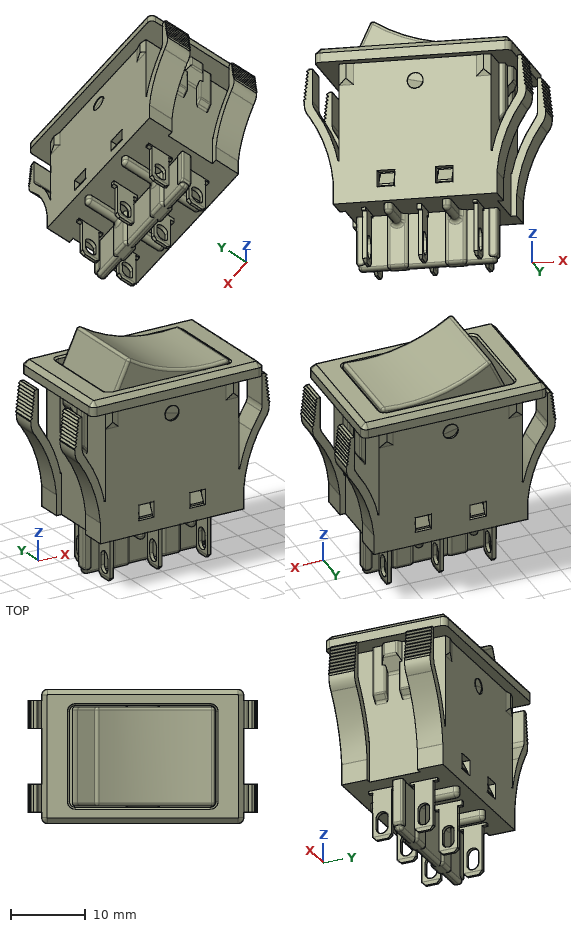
import cadquery as cq

BODY_BOTTOM = 7.47
BEZEL_BOTTOM = 26.95
BEZEL_EDGE_TOP = 28.28
BEZEL_TOP = 29.0

BEZEL_LENGTH = 27.1
BEZEL_WIDTH = 18.0
BEZEL_BEVEL = 0.72
BEZEL_CORNER = 0.8
OPENING_LENGTH = 19.65
OPENING_WIDTH = 13.63
OPENING_CORNER = 0.8
OPENING_LIP = 0.25
OPENING_LIP_ANGLE = 45
OPENING_FLOOR = 24.7

BODY_HALF_LENGTH = 10.5
BODY_HALF_WIDTH = 7.5

ROCKER_HALF_WIDTH = 6.65
ROCKER_LEFT = -9.45
ROCKER_RIGHT = 9.7
ROCKER_FLARE_BOTTOM = 26.8
ROCKER_FLARE_MIDDLE = (-9.02, 27.25)
ROCKER_FLARE_TOP = (-8.72, 27.85)
ROCKER_PEAK = (-6.25, 33.12)
ROCKER_DISH = (1.32, 29.85)
ROCKER_TAIL = (9.68, 29.45)
ROCKER_ROUND = 0.43
PIVOT_Z = 24.0
PIVOT_BOSS_RADIUS = 2.4
PIVOT_BOSS_TAPER = 60

PIVOT_HOLE_RADIUS = 1.1
PIVOT_HOLE_DEPTH = 0.1
PIVOT_SLANT_DEPTH = 0.33
PIVOT_TILT = 13

WEDGE_LENGTH = 2.0
WEDGE_PROUD = 0.23
WEDGE_RIDGE_BOTTOM = 24.9
WEDGE_BOTTOM = 24.0

STATION_X = 4.0
WINDOW_LENGTH = 2.4
WINDOW_BOTTOM = 9.48
WINDOW_TOP = 11.75
WINDOW_DEPTH = 1.0
LATCH_LENGTH = 2.05
LATCH_LIP_Z = 9.9
LATCH_LIP_DEPTH = 0.2
LATCH_GAP = 0.15

CLIP_INNER_Y = 3.72
CLIP_FOOT_X = 11.3
CLIP_BEND_START_Z = 10.5
CLIP_BEND_END = (14.62, 19.92)
CLIP_BEND_MIDDLE = (12.28, 15.2)
CLIP_KNEE_MIDDLE = (15.15, 20.8)
CLIP_KNEE_END = (15.27, 22.0)
CLIP_INNER_KNEE_TOP_Z = 22.02
CLIP_INNER_KNEE_MIDDLE = (14.12, 21.6)
CLIP_INNER_KNEE_END = (13.95, 21.15)
CLIP_INNER_BEND_START = (12.5, 18.7)
CLIP_INNER_BEND_MIDDLE = (11.45, 16.33)
CLIP_SLOT_X = 10.63
CLIP_SLOT_Z = 13.5
CLIP_FINGER_X = 14.15
CLIP_TOP = 26.55
TOOTH_COUNT = 9
TOOTH_DEPTH = 0.25
TOOTH_LOWEST = (15.4, 22.25)
TOOTH_HIGHEST = (14.95, 26.27)
TOOTH_LEAN = (TOOTH_LOWEST[0] - TOOTH_HIGHEST[0]) / (TOOTH_COUNT - 1)
TOOTH_PITCH = (TOOTH_HIGHEST[1] - TOOTH_LOWEST[1]) / (TOOTH_COUNT - 1)

GUIDE_X = 11.3
GUIDE_INNER_Y = 1.0
GUIDE_OUTER_Y = 2.95
GUIDE_BASE_Z = 18.1
GUIDE_EMBED = 0.5
GUIDE_FOOT_ROUND = 0.8
RAIL_SLOPE_TOP = 19.98
RAIL_SLOPE_FOOT = 19.03
RAIL_CREST_ROUND = 0.4
RAIL_EDGE_ROUND = 0.23
KEY_X = 11.98
KEY_TIP_Y = 1.0
KEY_ROOT_Y = 1.48
KEY_SLOPE_TOP = 25.02
KEY_SLOPE_FOOT = 22.98
KEY_CREST_ROUND = 0.65
KEY_EDGE_ROUND = 0.33

WALL_HALF_LENGTH = 9.75
WALL_HALF_WIDTH = 0.65
WALL_ROUND = 0.45
POST_LENGTH = 1.25
POST_HALF_WIDTH = 0.75
POST_ROUND = 0.23
POST_BOTTOM = 0.65
POST_BOTTOM_ROUND = 0.5
PILASTER_LENGTH = 3.03
PILASTER_HALF_WIDTH = 1.0
PILASTER_ROUND = 0.53
RIB_WIDTH = 1.2
RIB_HALF_SPAN = 6.52
RIB_BOTTOM = 6.0
RIB_END_ROUND = 0.55
RIB_ROOT_ROUND = 0.53

TERMINAL_Y = 3.1
TERMINAL_PITCH = 7.67
TERMINAL_THICKNESS = 0.55
TERMINAL_WIDTH = 2.8
TERMINAL_TIP_CHAMFER = 0.53
TERMINAL_TIP_BEVEL = 0.1
SHOULDER_WIDTH = 4.0
SHOULDER_Z = 7.1
MIDDLE_SHOULDER_Z = 6.7
EYE_WIDTH = 1.75
EYE_BOTTOM = 0.85
EYE_TOP = 4.05

SELECT_MARGIN = 0.03


def block(x0, x1, y0, y1, z0, z1):
    """Box given by its limits along each axis."""
    return cq.Workplane("XY").box(x1 - x0, y1 - y0, z1 - z0, centered=False).translate((x0, y0, z0))


def box_around(x0, x1, y0, y1, z0, z1):
    """Selector for whatever has its centre within these limits, or just outside them."""
    low = (x0 - SELECT_MARGIN, y0 - SELECT_MARGIN, z0 - SELECT_MARGIN)
    high = (x1 + SELECT_MARGIN, y1 + SELECT_MARGIN, z1 + SELECT_MARGIN)
    return cq.selectors.BoxSelector(low, high)


def extrude_along_y(sketch, y0, y1):
    """Extrude a closed XZ sketch from y0 to y1."""
    return sketch.extrude(-(y1 - y0)).translate((0, y0, 0))


def both_ends(solid):
    """The solid together with its mirror at the opposite X end."""
    return solid.union(solid.mirror("YZ"))


def both_sides(solid):
    """The solid together with its mirror at the opposite Y side."""
    return solid.union(solid.mirror("XZ"))


def make_bezel():
    bevel_height = BEZEL_TOP - BEZEL_EDGE_TOP
    plate = (
        cq.Workplane("XY", origin=(0, 0, BEZEL_BOTTOM))
        .rect(BEZEL_LENGTH, BEZEL_WIDTH)
        .extrude(BEZEL_TOP - BEZEL_BOTTOM)
        .edges("|Z")
        .fillet(BEZEL_CORNER)
    )
    return plate.faces(">Z").chamfer(bevel_height, BEZEL_BEVEL)


def make_opening():
    """Rocker opening with a sloped lip around its mouth."""
    well = (
        cq.Workplane("XY", origin=(0, 0, OPENING_FLOOR))
        .rect(OPENING_LENGTH, OPENING_WIDTH)
        .extrude(BEZEL_TOP - OPENING_FLOOR)
        .edges("|Z")
        .fillet(OPENING_CORNER)
    )
    mouth = cq.Sketch().rect(OPENING_LENGTH, OPENING_WIDTH).vertices().fillet(OPENING_CORNER)
    lip = (
        cq.Workplane("XY", origin=(0, 0, BEZEL_TOP - OPENING_LIP))
        .placeSketch(mouth)
        .extrude(OPENING_LIP, taper=-OPENING_LIP_ANGLE)
    )
    return well.union(lip)


def make_rocker():
    """Tilted rocker with a dished top and a pivot boss on each flank."""
    sketch = (
        cq.Workplane("XZ")
        .moveTo(ROCKER_LEFT, OPENING_FLOOR)
        .lineTo(ROCKER_LEFT, ROCKER_FLARE_BOTTOM)
        .threePointArc(ROCKER_FLARE_MIDDLE, ROCKER_FLARE_TOP)
        .lineTo(*ROCKER_PEAK)
        .threePointArc(ROCKER_DISH, ROCKER_TAIL)
        .lineTo(ROCKER_RIGHT, OPENING_FLOOR)
        .close()
    )
    rocker = extrude_along_y(sketch, -ROCKER_HALF_WIDTH, ROCKER_HALF_WIDTH)
    rocker = rocker.edges("not(<Z or (|Y and <X))").fillet(ROCKER_ROUND)
    gap = OPENING_WIDTH / 2 - ROCKER_HALF_WIDTH
    boss = (
        cq.Workplane("XZ", origin=(0, -ROCKER_HALF_WIDTH, PIVOT_Z))
        .circle(PIVOT_BOSS_RADIUS)
        .extrude(gap, taper=PIVOT_BOSS_TAPER)
    )
    return rocker.union(both_sides(boss))


def make_pivot_hole():
    """Shallow round recess whose lower half slants deeper into the wall."""
    face = cq.Workplane("XZ", origin=(0, -BODY_HALF_WIDTH, PIVOT_Z))
    recess = face.circle(PIVOT_HOLE_RADIUS).extrude(-PIVOT_HOLE_DEPTH)
    column = face.circle(PIVOT_HOLE_RADIUS).extrude(-PIVOT_SLANT_DEPTH)
    slant = (
        cq.Workplane("YZ")
        .moveTo(-BODY_HALF_WIDTH, 0)
        .lineTo(-BODY_HALF_WIDTH + PIVOT_HOLE_DEPTH, 0)
        .lineTo(-BODY_HALF_WIDTH + PIVOT_SLANT_DEPTH, -PIVOT_HOLE_RADIUS)
        .lineTo(-BODY_HALF_WIDTH, -PIVOT_HOLE_RADIUS)
        .close()
        .extrude(PIVOT_HOLE_RADIUS, both=True)
        .rotate((0, 0, 0), (0, 1, 0), PIVOT_TILT)
        .translate((0, 0, PIVOT_Z))
    )
    return recess.union(column.intersect(slant))


def make_wedge():
    """Ridged wedge at the top corner of a long wall, tapering out below."""
    ridge_x = BODY_HALF_LENGTH - WEDGE_LENGTH / 2
    prism = (
        cq.Workplane("XY", origin=(0, 0, WEDGE_BOTTOM))
        .moveTo(ridge_x - WEDGE_LENGTH / 2, -BODY_HALF_WIDTH)
        .lineTo(ridge_x, -BODY_HALF_WIDTH - WEDGE_PROUD)
        .lineTo(ridge_x + WEDGE_LENGTH / 2, -BODY_HALF_WIDTH)
        .close()
        .extrude(BEZEL_BOTTOM - WEDGE_BOTTOM)
    )
    under = (
        cq.Workplane("YZ")
        .moveTo(-BODY_HALF_WIDTH, WEDGE_BOTTOM)
        .lineTo(-BODY_HALF_WIDTH - WEDGE_PROUD, WEDGE_RIDGE_BOTTOM)
        .lineTo(-BODY_HALF_WIDTH - WEDGE_PROUD, WEDGE_BOTTOM)
        .close()
        .extrude(BODY_HALF_LENGTH)
    )
    return prism.cut(under)


def make_window(x):
    """Window in a long wall, less the sloped latch that stays inside it."""
    face_y = -BODY_HALF_WIDTH
    back_y = face_y + WINDOW_DEPTH
    lip_y = face_y + LATCH_LIP_DEPTH
    pocket = block(
        x - WINDOW_LENGTH / 2, x + WINDOW_LENGTH / 2, face_y, back_y, WINDOW_BOTTOM, WINDOW_TOP
    )
    latch = (
        cq.Workplane("YZ", origin=(x, 0, 0))
        .moveTo(back_y, WINDOW_BOTTOM + LATCH_GAP)
        .lineTo(lip_y, WINDOW_BOTTOM + LATCH_GAP)
        .lineTo(lip_y, LATCH_LIP_Z)
        .lineTo(back_y, WINDOW_TOP - LATCH_GAP)
        .close()
        .extrude(LATCH_LENGTH / 2, both=True)
    )
    return pocket.cut(latch)


def make_clip():
    """Springy snap clip on the +X end, with a toothed fingertip."""
    sketch = (
        cq.Workplane("XZ")
        .moveTo(BODY_HALF_LENGTH, BODY_BOTTOM)
        .lineTo(CLIP_FOOT_X, BODY_BOTTOM)
        .lineTo(CLIP_FOOT_X, CLIP_BEND_START_Z)
        .threePointArc(CLIP_BEND_MIDDLE, CLIP_BEND_END)
        .threePointArc(CLIP_KNEE_MIDDLE, CLIP_KNEE_END)
    )
    tip_x, tip_z = TOOTH_LOWEST
    for _ in range(TOOTH_COUNT):
        sketch = sketch.lineTo(tip_x, tip_z)
        tip_x -= TOOTH_LEAN
        tip_z += TOOTH_PITCH
        sketch = sketch.lineTo(tip_x - TOOTH_DEPTH, tip_z - TOOTH_PITCH / 2)
    sketch = (
        sketch.lineTo(tip_x - TOOTH_DEPTH, CLIP_TOP)
        .lineTo(CLIP_FINGER_X, CLIP_TOP)
        .lineTo(CLIP_FINGER_X, CLIP_INNER_KNEE_TOP_Z)
        .threePointArc(CLIP_INNER_KNEE_MIDDLE, CLIP_INNER_KNEE_END)
        .lineTo(*CLIP_INNER_BEND_START)
        .threePointArc(CLIP_INNER_BEND_MIDDLE, (CLIP_SLOT_X, CLIP_SLOT_Z))
        .lineTo(BODY_HALF_LENGTH, CLIP_SLOT_Z)
        .close()
    )
    return extrude_along_y(sketch, -BODY_HALF_WIDTH, -CLIP_INNER_Y)


def guide_profile(crest_x, slope_top, slope_foot, crest_round, half_width):
    """Upright strip on the +X end that slopes back into the wall, with both bends rounded."""
    inside_x = BODY_HALF_LENGTH - GUIDE_EMBED
    strip = (
        cq.Workplane("XZ")
        .moveTo(inside_x, BEZEL_BOTTOM)
        .lineTo(crest_x, BEZEL_BOTTOM)
        .lineTo(crest_x, slope_top)
        .lineTo(BODY_HALF_LENGTH, slope_foot)
        .lineTo(BODY_HALF_LENGTH, GUIDE_BASE_Z)
        .lineTo(inside_x, GUIDE_BASE_Z)
        .close()
        .extrude(half_width, both=True)
    )
    strip = strip.edges("|Y and >X and (not >Z)").fillet(crest_round)
    foot = box_around(BODY_HALF_LENGTH, BODY_HALF_LENGTH, -half_width, half_width, slope_foot, slope_foot)
    return strip.edges(foot).fillet(GUIDE_FOOT_ROUND)


def make_end_guide():
    """Two guide rails and a central trapezoid key on the +X end."""
    rail_width = GUIDE_OUTER_Y - GUIDE_INNER_Y
    rail = guide_profile(GUIDE_X, RAIL_SLOPE_TOP, RAIL_SLOPE_FOOT, RAIL_CREST_ROUND, rail_width / 2)
    rail = rail.faces(">X").edges("|Z").fillet(RAIL_EDGE_ROUND)
    rail = rail.translate((0, -(GUIDE_OUTER_Y + GUIDE_INNER_Y) / 2, 0))

    strip = guide_profile(KEY_X, KEY_SLOPE_TOP, KEY_SLOPE_FOOT, KEY_CREST_ROUND, KEY_ROOT_Y)
    section = (
        cq.Workplane("XY", origin=(0, 0, GUIDE_BASE_Z))
        .moveTo(BODY_HALF_LENGTH, -KEY_ROOT_Y)
        .lineTo(GUIDE_X, -KEY_ROOT_Y)
        .lineTo(KEY_X, -KEY_TIP_Y)
        .lineTo(KEY_X, KEY_TIP_Y)
        .lineTo(GUIDE_X, KEY_ROOT_Y)
        .lineTo(BODY_HALF_LENGTH, KEY_ROOT_Y)
        .close()
        .extrude(BEZEL_BOTTOM - GUIDE_BASE_Z)
        .edges("|Z and >X")
        .fillet(KEY_EDGE_ROUND)
    )
    return both_sides(rail).union(strip.intersect(section))


def make_pilaster(x):
    """Thicker, round-edged stretch of the divider wall."""
    half = PILASTER_LENGTH / 2
    pilaster = block(x - half, x + half, -PILASTER_HALF_WIDTH, PILASTER_HALF_WIDTH, 0, BODY_BOTTOM)
    return pilaster.edges("|Z").fillet(PILASTER_ROUND).faces("<Z").edges().fillet(WALL_ROUND)


def make_cross_rib(x):
    """Round-bottomed rib across the body underside, rounded at its ends."""
    radius = RIB_WIDTH / 2
    axis_z = RIB_BOTTOM + radius
    rib = (
        cq.Workplane("XZ", origin=(x, RIB_HALF_SPAN, 0))
        .moveTo(-radius, BODY_BOTTOM)
        .lineTo(-radius, axis_z)
        .threePointArc((0, RIB_BOTTOM), (radius, axis_z))
        .lineTo(radius, BODY_BOTTOM)
        .close()
        .extrude(2 * RIB_HALF_SPAN)
    )
    return rib.faces("<Y or >Y").edges("not(>Z)").fillet(RIB_END_ROUND)


def make_crossing(x):
    """Pilaster and cross rib, with a fillet where the rib meets the pilaster."""
    inner_edges = box_around(
        x - RIB_WIDTH / 2, x + RIB_WIDTH / 2,
        -PILASTER_HALF_WIDTH, PILASTER_HALF_WIDTH,
        RIB_BOTTOM, BODY_BOTTOM - RIB_WIDTH / 4,
    )
    crossing = make_pilaster(x).union(make_cross_rib(x))
    return crossing.edges(inner_edges).fillet(RIB_ROOT_ROUND)


def make_divider():
    wall = block(
        -WALL_HALF_LENGTH + POST_ROUND, WALL_HALF_LENGTH - POST_ROUND,
        -WALL_HALF_WIDTH, WALL_HALF_WIDTH, 0, BODY_BOTTOM,
    )
    wall = wall.edges("<Z and |X").fillet(WALL_ROUND).edges("<Z and |Y").fillet(WALL_ROUND)
    post = block(
        WALL_HALF_LENGTH - POST_LENGTH, WALL_HALF_LENGTH,
        -POST_HALF_WIDTH, POST_HALF_WIDTH, POST_BOTTOM, BODY_BOTTOM,
    )
    post = post.edges("<Z and |Y").fillet(POST_BOTTOM_ROUND)
    post = post.edges("not(>Z or |Y)").fillet(POST_ROUND)
    divider = wall.union(both_ends(post))
    for x in (-STATION_X, STATION_X):
        divider = divider.union(make_crossing(x))
    return divider


def make_terminal(x, shoulder_z):
    """Solder terminal blade with an oblong eye and a cropped tip."""
    half = TERMINAL_THICKNESS / 2
    blade = block(x - half, x + half, -TERMINAL_WIDTH / 2, TERMINAL_WIDTH / 2, 0, BODY_BOTTOM)
    blade = blade.edges("<Z and |X").chamfer(TERMINAL_TIP_CHAMFER)
    tip_bevel = (
        cq.Workplane("XZ")
        .moveTo(half, TERMINAL_TIP_CHAMFER)
        .lineTo(half, 0)
        .lineTo(half - TERMINAL_TIP_BEVEL, 0)
        .close()
        .extrude(TERMINAL_WIDTH, both=True)
    )
    blade = blade.cut(both_ends(tip_bevel).translate((x, 0, 0)))
    shoulder = block(x - half, x + half, -SHOULDER_WIDTH / 2, SHOULDER_WIDTH / 2, shoulder_z, BODY_BOTTOM)
    eye = (
        cq.Workplane("YZ", origin=(x, 0, (EYE_BOTTOM + EYE_TOP) / 2))
        .slot2D(EYE_TOP - EYE_BOTTOM, EYE_WIDTH, 90)
        .extrude(half, both=True)
    )
    return blade.union(shoulder).cut(eye).translate((0, -TERMINAL_Y, 0))


body = block(
    -BODY_HALF_LENGTH, BODY_HALF_LENGTH, -BODY_HALF_WIDTH, BODY_HALF_WIDTH, BODY_BOTTOM, BEZEL_BOTTOM
)
result = body.union(make_bezel()).cut(make_opening()).union(make_rocker())

result = result.cut(both_sides(make_pivot_hole()))
for window_x in (-STATION_X, STATION_X):
    result = result.cut(both_sides(make_window(window_x)))

result = result.union(both_sides(both_ends(make_wedge())))
result = result.union(both_sides(both_ends(make_clip())))
result = result.union(both_ends(make_end_guide()))
result = result.union(make_divider())
result = result.union(both_sides(both_ends(make_terminal(TERMINAL_PITCH, SHOULDER_Z))))
result = result.union(both_sides(make_terminal(0, MIDDLE_SHOULDER_Z)))